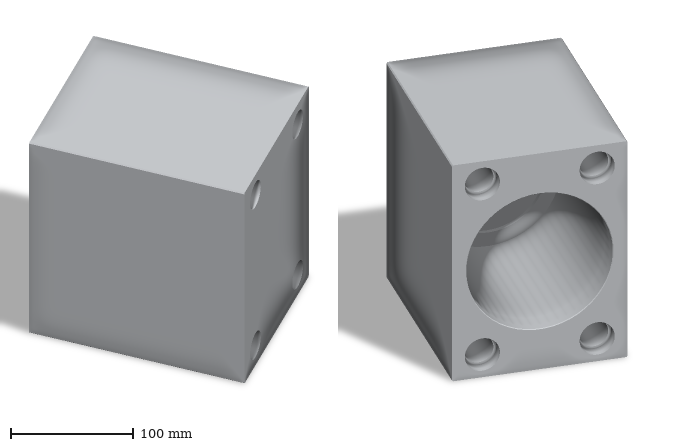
import cadquery as cq

length = 188.0
width = 150.0
height = 200.0
edge_chamfer = 1.0

bore_diameter = 125.0
bore_depth = 150.0
bore_lead_in = 0.5
recess_diameter = 100.0
recess_depth = 4.0

bolt_diameter = 25.0
counterbore_diameter = 30.0
counterbore_depth = 10.5
bolt_spacing_y = 98.0
bolt_spacing_z = 158.0

bore_face = -length / 2


def make_block():
    """Box with its four long edges chamfered."""
    return cq.Workplane("XY").box(length, width, height).edges("|X").chamfer(edge_chamfer)


def x_cylinder(diameter, start_x, depth):
    """Cylinder on the X axis, reaching from start_x toward +X."""
    return cq.Workplane("YZ", origin=(start_x, 0, 0)).circle(diameter / 2).extrude(depth)


def make_bore():
    """Main bore with a chamfered mouth and a smaller recess in its floor."""
    main = x_cylinder(bore_diameter, bore_face, bore_depth)
    recess = x_cylinder(recess_diameter, bore_face + bore_depth, recess_depth)
    mouth = cq.Workplane(
        cq.Solid.makeCone(
            bore_diameter / 2 + bore_lead_in,
            bore_diameter / 2,
            bore_lead_in,
            pnt=cq.Vector(bore_face, 0, 0),
            dir=cq.Vector(1, 0, 0),
        )
    )
    return main.union(mouth).union(recess)


def cut_bolt_holes(body):
    """Counterbored through holes at the corners of a rectangle, sunk from the -X face."""
    return (
        body.faces("<X")
        .workplane(origin=(0, 0, 0))
        .rect(bolt_spacing_y, bolt_spacing_z, forConstruction=True)
        .vertices()
        .cboreHole(bolt_diameter, counterbore_diameter, counterbore_depth)
    )


result = cut_bolt_holes(make_block()).cut(make_bore())